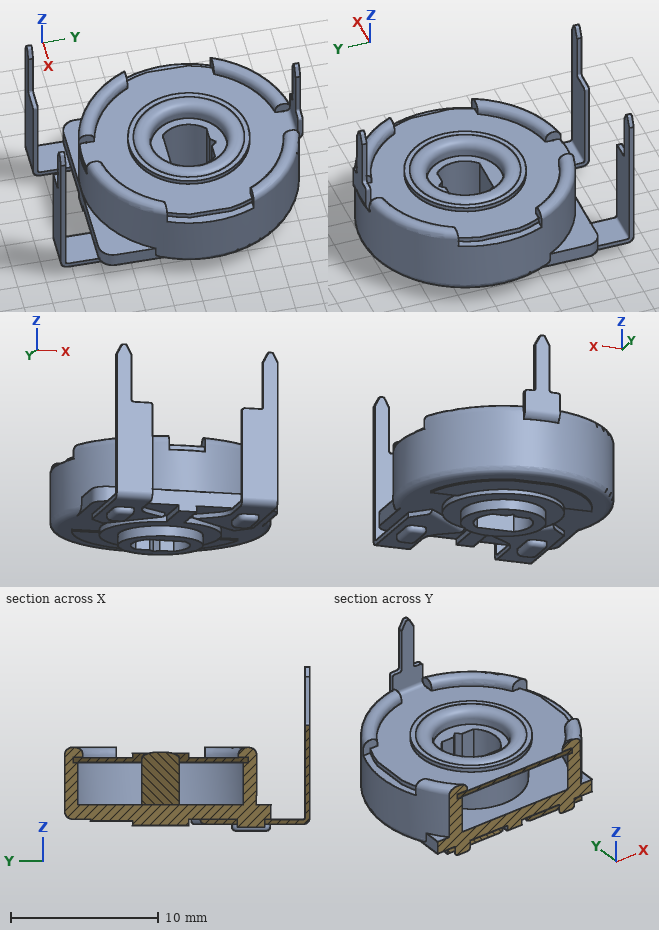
import cadquery as cq
import math

SHEET = 0.34

HOUSING_R = 15.0 / 2
HOUSING_BOTTOM = 1.12
HOUSING_TOP = 6.03
HOUSING_FILLET = 0.5
LIP_INNER_R = 6.43
CAVITY_R = 13.4 / 2
COLLAR_R = 8.3 / 2
COLLAR_BOTTOM = 0.71
FOOT_HALF_WIDTH = 6.5
FOOT_FRONT = -7.51
FOOT_TOP = 2.14
FOOT_CORNER_R = 1.0
RIB_WIDTH = 1.25
SEAT_Z = 4.98
TAB_WIDTH = 2.53
SIDE_GAP_WIDTH = 6.02
PAD_R = 6.03
PAD_FRONT_Y = 1.53
PAD_REAR_Y = 5.85
PAD_BOTTOM = 1.01

RIVET_X = 4.38
RIVET_Y = -6.14
RIVET_WIDTH = 1.42
RIVET_LENGTH = 2.62
RIVET_BOTTOM = 0.34
RIVET_CORNER_R = 0.41
RIVET_EDGE_R = 0.28

HUB_R = 5.8 / 2
ROTOR_R = 7.8 / 2
ROTOR_TOP = 5.82
CROWN_OUTER_R = 3.36
CROWN_INNER_R = 3.2
SOCKET_R = 2.62
SOCKET_FLOOR = 4.73
SHAFT_HOLE_R = 2.03
SHAFT_FLAT_Y = 1.53
NOTCH_DEPTH = 0.35

DISC_R = 6.98
DISC_HALF_WIDTH = 6.84
DISC_COLLAR_TOP = 5.62
FRONT_TAB_R = 7.42
FRONT_TAB_CORNER_R = 0.18
WIPER_OUTER_Y = 7.65
WIPER_BEND_R = 0.3

PIN_WIDTH = 1.01
PIN_TAPER = 0.7
PIN_END_WIDTH = 0.28
PIN_END_FILLET = 0.09
SHOULDER_R = 0.18
WIPER_SHOULDER_Z = 7.03
WIPER_PIN_TOP = 11.04
SIDE_SHOULDER_Z = 7.53
SIDE_PIN_TOP = 11.5

SIDE_OUTER_X = 5.65
SIDE_WIDTH = 2.5
SIDE_FRONT = -10.15
SIDE_BEND_R = 0.16
SIDE_OUTER_TURN_Y = -3.31
SIDE_INNER_TURN_Y = -6.5
ARM_END_SHIFT = 1.25
ARM_INNER_X = 0.96
ARM_INNER_Y = -4.98
ARM_END_R = 0.32
ARM_ELBOW_R = 1.78

FLOOR_TOP = FOOT_TOP
DISC_TOP = SEAT_Z + SHEET
SIDE_INNER_X = SIDE_OUTER_X - SIDE_WIDTH
TERMINAL_BOTTOM = HOUSING_BOTTOM - SHEET


def block(x_min, x_max, y_min, y_max, z_min, z_max):
    """Box given by its limits."""
    size = (x_max - x_min, y_max - y_min, z_max - z_min)
    return cq.Workplane("XY").box(*size, centered=False).translate((x_min, y_min, z_min))


def disc(radius, z_min, z_max):
    """Solid cylinder on the rotor axis."""
    return cq.Workplane("XY").workplane(offset=z_min).circle(radius).extrude(z_max - z_min)


def arc_middle(centre_r, centre_z, radius, degrees):
    """Point on a rounding in the radius-height plane."""
    angle = math.radians(degrees)
    return centre_r + radius * math.cos(angle), centre_z + radius * math.sin(angle)


def make_shaft_hole():
    """Through hole with two flats and a 90-degree index notch."""
    hole = disc(SHAFT_HOLE_R, 0, ROTOR_TOP)
    hole = hole.intersect(
        block(-SHAFT_HOLE_R, SHAFT_HOLE_R, -SHAFT_FLAT_Y, SHAFT_FLAT_Y, 0, ROTOR_TOP)
    )
    notch = (
        cq.Workplane("XY")
        .moveTo(-NOTCH_DEPTH, SHAFT_FLAT_Y)
        .lineTo(0, SHAFT_FLAT_Y + NOTCH_DEPTH)
        .lineTo(NOTCH_DEPTH, SHAFT_FLAT_Y)
        .lineTo(0, 0)
        .close()
        .extrude(ROTOR_TOP)
    )
    return hole.union(notch)


def make_rotor():
    """Hub, wide body and a rounded crown around a socket."""
    outer_round = ROTOR_R - CROWN_OUTER_R
    inner_round = CROWN_INNER_R - SOCKET_R
    outer_z = ROTOR_TOP - outer_round
    inner_z = ROTOR_TOP - inner_round
    profile = (
        cq.Workplane("XZ")
        .moveTo(0, 0)
        .lineTo(HUB_R, 0)
        .lineTo(HUB_R, FLOOR_TOP)
        .lineTo(ROTOR_R, FLOOR_TOP)
        .lineTo(ROTOR_R, outer_z)
        .threePointArc(
            arc_middle(CROWN_OUTER_R, outer_z, outer_round, 45), (CROWN_OUTER_R, ROTOR_TOP)
        )
        .lineTo(CROWN_INNER_R, ROTOR_TOP)
        .threePointArc(arc_middle(CROWN_INNER_R, inner_z, inner_round, 135), (SOCKET_R, inner_z))
        .lineTo(SOCKET_R, SOCKET_FLOOR)
        .lineTo(0, SOCKET_FLOOR)
        .close()
    )
    body = profile.revolve(360, (0, 0, 0), (0, 1, 0))
    return body.cut(make_shaft_hole())


def add_pin_end(outline, centre_x, top):
    """Continue an outline over the tapered end of a pin, towards +X."""
    return (
        outline.lineTo(centre_x - PIN_WIDTH / 2, top - PIN_TAPER)
        .lineTo(centre_x - PIN_END_WIDTH / 2, top)
        .lineTo(centre_x + PIN_END_WIDTH / 2, top)
        .lineTo(centre_x + PIN_WIDTH / 2, top - PIN_TAPER)
    )


def round_edge_along_y(blade, x, z, radius):
    """Round the blade edge that runs along Y at the given X and Z."""
    reach = 0.02
    picker = cq.selectors.BoxSelector(
        (x - reach, -2 * HOUSING_R, z - reach), (x + reach, 2 * HOUSING_R, z + reach)
    )
    return blade.edges("|Y").edges(picker).fillet(radius)


def round_pin_end(blade, centre_x, top):
    """Soften the two corners at the tip of a pin."""
    for side in (-1, 1):
        blade = round_edge_along_y(blade, centre_x + side * PIN_END_WIDTH / 2, top, PIN_END_FILLET)
    return blade


def sheet_bend(outer_y, flat_bottom, inner_r, direction, x_min, x_max):
    """Quarter bend from a flat sheet up to a blade whose outer face is at outer_y."""
    outer_r = inner_r + SHEET
    centre_y = outer_y - direction * outer_r
    centre_z = flat_bottom + outer_r
    ring = (
        cq.Workplane("YZ")
        .workplane(offset=x_min)
        .center(centre_y, centre_z)
        .circle(outer_r)
        .circle(inner_r)
        .extrude(x_max - x_min)
    )
    y_limits = sorted((centre_y, outer_y))
    return ring.intersect(block(x_min, x_max, *y_limits, flat_bottom, centre_z))


def make_wiper_terminal(rotor):
    """Disc with a raised collar and front tab; its rear tab bends up into a pin."""
    half_tab = TAB_WIDTH / 2
    plate = disc(DISC_R, SEAT_Z, DISC_TOP).intersect(
        block(-DISC_HALF_WIDTH, DISC_HALF_WIDTH, -DISC_R, DISC_R, SEAT_Z, DISC_TOP)
    )
    front_tab = disc(FRONT_TAB_R, SEAT_Z, DISC_TOP).intersect(
        block(-half_tab, half_tab, -FRONT_TAB_R, 0, SEAT_Z, DISC_TOP)
    )
    front_tab = front_tab.edges("|Z").edges("<Y").fillet(FRONT_TAB_CORNER_R)
    bend_outer_r = WIPER_BEND_R + SHEET
    rear_tab = block(-half_tab, half_tab, 0, WIPER_OUTER_Y - bend_outer_r, SEAT_Z, DISC_TOP)
    bend = sheet_bend(WIPER_OUTER_Y, SEAT_Z, WIPER_BEND_R, 1, -half_tab, half_tab)

    outline = (
        cq.Workplane("XZ", origin=(0, WIPER_OUTER_Y, 0))
        .moveTo(-half_tab, SEAT_Z + bend_outer_r)
        .lineTo(-half_tab, WIPER_SHOULDER_Z)
        .lineTo(-PIN_WIDTH / 2, WIPER_SHOULDER_Z)
    )
    outline = (
        add_pin_end(outline, 0, WIPER_PIN_TOP)
        .lineTo(PIN_WIDTH / 2, WIPER_SHOULDER_Z)
        .lineTo(half_tab, WIPER_SHOULDER_Z)
        .lineTo(half_tab, SEAT_Z + bend_outer_r)
        .close()
    )
    blade = outline.extrude(SHEET)
    for x in (-half_tab, -PIN_WIDTH / 2, PIN_WIDTH / 2, half_tab):
        blade = round_edge_along_y(blade, x, WIPER_SHOULDER_Z, SHOULDER_R)
    blade = round_pin_end(blade, 0, WIPER_PIN_TOP)

    collar = disc(COLLAR_R, SEAT_Z, DISC_COLLAR_TOP)
    terminal = plate.union(front_tab).union(rear_tab).union(collar).union(bend).union(blade)
    return terminal.cut(rotor).cut(disc(CROWN_OUTER_R, SEAT_Z, ROTOR_TOP))


def make_side_terminal(rivet, mirrored):
    """Slanted arm under the housing, flat strip, bend and upright pin; on +X when mirrored."""
    bend_outer_r = SIDE_BEND_R + SHEET
    strip_front = SIDE_FRONT + bend_outer_r
    arm_outer_end = (-SIDE_OUTER_X + ARM_END_SHIFT, SIDE_OUTER_TURN_Y + ARM_END_SHIFT)
    arm_inner_end = (-ARM_INNER_X, ARM_INNER_Y)
    strip = (
        cq.Workplane("XY", origin=(0, 0, TERMINAL_BOTTOM))
        .moveTo(-SIDE_OUTER_X, strip_front)
        .lineTo(-SIDE_OUTER_X, SIDE_OUTER_TURN_Y)
        .lineTo(*arm_outer_end)
        .lineTo(*arm_inner_end)
        .lineTo(-SIDE_INNER_X, SIDE_INNER_TURN_Y)
        .lineTo(-SIDE_INNER_X, strip_front)
        .close()
        .extrude(SHEET)
    )
    elbow = cq.selectors.NearestToPointSelector(
        (-SIDE_INNER_X, SIDE_INNER_TURN_Y, TERMINAL_BOTTOM + SHEET / 2)
    )
    strip = strip.edges("|Z").edges(elbow).fillet(ARM_ELBOW_R)
    arm_end_x = (arm_outer_end[0] + arm_inner_end[0]) / 2
    arm_end_y = (arm_outer_end[1] + arm_inner_end[1]) / 2
    arm_lower_edge = cq.selectors.NearestToPointSelector((arm_end_x, arm_end_y, TERMINAL_BOTTOM))
    strip = strip.edges(arm_lower_edge).fillet(ARM_END_R)

    bend = sheet_bend(
        SIDE_FRONT, TERMINAL_BOTTOM, SIDE_BEND_R, -1, -SIDE_OUTER_X, -SIDE_INNER_X
    )
    pin_inner_x = -SIDE_OUTER_X + PIN_WIDTH
    pin_centre_x = -SIDE_OUTER_X + PIN_WIDTH / 2
    outline = cq.Workplane("XZ", origin=(0, SIDE_FRONT, 0)).moveTo(
        -SIDE_OUTER_X, TERMINAL_BOTTOM + bend_outer_r
    )
    outline = (
        add_pin_end(outline, pin_centre_x, SIDE_PIN_TOP)
        .lineTo(pin_inner_x, SIDE_SHOULDER_Z)
        .lineTo(-SIDE_INNER_X, SIDE_SHOULDER_Z)
        .lineTo(-SIDE_INNER_X, TERMINAL_BOTTOM + bend_outer_r)
        .close()
    )
    blade = outline.extrude(-SHEET)
    for x in (pin_inner_x, -SIDE_INNER_X):
        blade = round_edge_along_y(blade, x, SIDE_SHOULDER_Z, SHOULDER_R)
    blade = round_pin_end(blade, pin_centre_x, SIDE_PIN_TOP)
    terminal = strip.union(bend).union(blade).cut(rivet)
    return terminal.mirror("YZ") if mirrored else terminal


def make_rivet():
    """Rivet head and shank on the -X side, reaching up to the housing underside."""
    return (
        cq.Workplane("XY", origin=(-RIVET_X, RIVET_Y, RIVET_BOTTOM))
        .rect(RIVET_WIDTH, RIVET_LENGTH)
        .extrude(HOUSING_BOTTOM - RIVET_BOTTOM)
        .edges("|Z")
        .fillet(RIVET_CORNER_R)
        .faces("<Z")
        .edges()
        .fillet(RIVET_EDGE_R)
    )


def make_shell():
    """Round cup with rounded lips curled over its rim."""
    fillet_r = HOUSING_R - HOUSING_FILLET
    lip_r = LIP_INNER_R + HOUSING_FILLET
    low_z = HOUSING_BOTTOM + HOUSING_FILLET
    high_z = HOUSING_TOP - HOUSING_FILLET
    profile = (
        cq.Workplane("XZ")
        .moveTo(0, HOUSING_BOTTOM)
        .lineTo(fillet_r, HOUSING_BOTTOM)
        .threePointArc(arc_middle(fillet_r, low_z, HOUSING_FILLET, -45), (HOUSING_R, low_z))
        .lineTo(HOUSING_R, high_z)
        .threePointArc(
            arc_middle(fillet_r, high_z, HOUSING_FILLET, 45), (fillet_r, HOUSING_TOP)
        )
        .lineTo(lip_r, HOUSING_TOP)
        .threePointArc(arc_middle(lip_r, high_z, HOUSING_FILLET, 135), (LIP_INNER_R, high_z))
        .lineTo(LIP_INNER_R, SEAT_Z)
        .lineTo(CAVITY_R, SEAT_Z)
        .lineTo(CAVITY_R, FLOOR_TOP)
        .lineTo(0, FLOOR_TOP)
        .close()
    )
    shell = profile.revolve(360, (0, 0, 0), (0, 1, 0))
    half_tab = TAB_WIDTH / 2
    half_gap = SIDE_GAP_WIDTH / 2
    tab_gap = block(-half_tab, half_tab, -HOUSING_R, HOUSING_R, SEAT_Z, HOUSING_TOP)
    side_gap = block(-HOUSING_R, HOUSING_R, -half_gap, half_gap, SEAT_Z, HOUSING_TOP)
    return shell.cut(tab_gap).cut(side_gap)


def make_foot():
    """Flat foot that carries the side terminals, with a rib between them."""
    foot = block(
        -FOOT_HALF_WIDTH, FOOT_HALF_WIDTH, FOOT_FRONT, 0, HOUSING_BOTTOM, FOOT_TOP
    )
    foot = foot.edges("|Z and <Y").fillet(FOOT_CORNER_R)
    rib = block(
        -RIB_WIDTH / 2, RIB_WIDTH / 2, FOOT_FRONT, 0, COLLAR_BOTTOM, HOUSING_BOTTOM
    )
    return foot.union(rib)


def make_rear_pad():
    """Thin round-sided pad under the rear half of the housing."""
    return disc(PAD_R, PAD_BOTTOM, HOUSING_BOTTOM).intersect(
        block(-PAD_R, PAD_R, PAD_FRONT_Y, PAD_REAR_Y, PAD_BOTTOM, HOUSING_BOTTOM)
    )


def make_housing(rivet, wiper_terminal):
    """Cup, foot, collar, pad and rivets, cut to pass the rotor hub and seat the wiper disc."""
    housing = make_shell().union(make_foot()).union(make_rear_pad())
    housing = housing.union(disc(COLLAR_R, COLLAR_BOTTOM, HOUSING_BOTTOM))
    housing = housing.union(rivet).union(rivet.mirror("YZ"))
    housing = housing.cut(disc(HUB_R, 0, FLOOR_TOP))
    return housing.cut(wiper_terminal)


rivet = make_rivet()
rotor = make_rotor()
wiper_terminal = make_wiper_terminal(rotor)
side_terminals = [make_side_terminal(rivet, mirrored) for mirrored in (False, True)]
housing = make_housing(rivet, wiper_terminal)

result = cq.Compound.makeCompound(
    [
        housing.val(),
        rotor.val(),
        wiper_terminal.val(),
        *[terminal.val() for terminal in side_terminals],
    ]
)